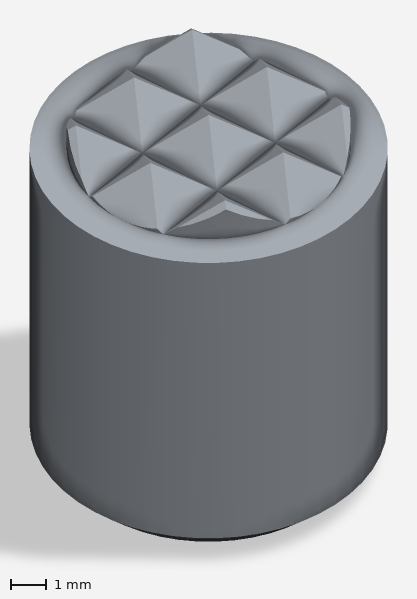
import cadquery as cq

total_height = 12.0
body_diameter = 10.0
body_height = 10.8
bottom_chamfer = 0.78

notch_depth = 0.8
notch_bottom = 3.64
notch_height = 4.74

teeth_per_side = 3
pad_diameter = 7.92
tooth_pitch = pad_diameter / teeth_per_side
tooth_height = total_height - body_height
root_overlap = 0.12


def make_body():
    body = cq.Workplane("XY").circle(body_diameter / 2).extrude(body_height)
    return body.faces("<Z").chamfer(bottom_chamfer)


def make_notch():
    return (
        cq.Workplane("XY")
        .box(notch_depth, body_diameter, notch_height, centered=(False, True, False))
        .translate((-body_diameter / 2, 0, notch_bottom))
    )


def make_ridges():
    """Parallel triangular ridges running along Y."""
    half_width = pad_diameter / 2
    root = body_height
    profile = [(-half_width, root - root_overlap), (-half_width, root)]
    for index in range(teeth_per_side):
        start = -half_width + index * tooth_pitch
        profile.append((start + tooth_pitch / 2, total_height))
        profile.append((start + tooth_pitch, root))
    profile.append((half_width, root - root_overlap))
    return cq.Workplane("XZ").polyline(profile).close().extrude(half_width, both=True)


def make_teeth():
    """Crossed ridges leave pyramids, which the round pad trims at its rim."""
    ridges = make_ridges()
    crossing_ridges = ridges.rotate((0, 0, 0), (0, 0, 1), 90)
    pad = (
        cq.Workplane("XY")
        .workplane(offset=body_height - root_overlap)
        .circle(pad_diameter / 2)
        .extrude(tooth_height + root_overlap)
    )
    return ridges.intersect(crossing_ridges).intersect(pad)


result = make_body().cut(make_notch()).union(make_teeth())